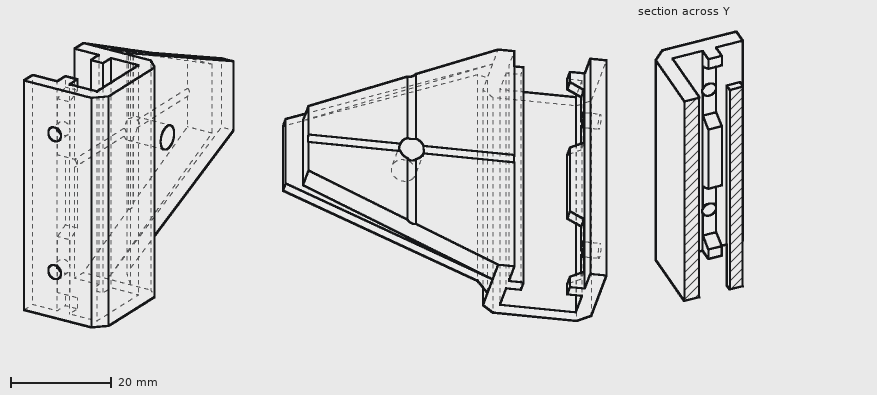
import cadquery as cq

width = 18.5
length = 64.0
height = 50.0

wall = 3.3
channel_length = 22.0
outer_chamfer = 2.5
lip_depth = 3.0
lip_start = 5.8
lip_thickness = 2.9
lip_end = lip_start + lip_thickness
arm_inner_face = channel_length - wall

plate_end_height = 15.0
gusset_leg = 2.5
pad_setback = 3.5
pad_end = length - pad_setback

center_hole_diameter = 5.0
center_y = 39.5
groove_radius = 1.0
groove_depth = 0.5

screw_diameter = 3.0
screw_spacing = 30.0
screw_x = 7.3
relief_bottom_width = 12.2
relief_top_width = 15.2
relief_floor = 0.15


def prism(points):
    """Extrude an XY outline over the full height, centred on Z = 0."""
    return cq.Workplane("XY").polyline(points).close().extrude(height / 2, both=True)


def box(x_range, y_range):
    """Full-height block between two X and two Y positions."""
    (x0, x1), (y0, y1) = x_range, y_range
    return prism([(x0, y0), (x1, y0), (x1, y1), (x0, y1)])


def channel():
    """C-shaped channel, open towards -X, with a lip inside each arm."""
    body = box((0, width), (0, channel_length)).edges("|Z and >X").chamfer(outer_chamfer)
    body = body.cut(box((0, width - wall), (wall, arm_inner_face)))
    front_lip = box((lip_start, lip_end), (wall, wall + lip_depth))
    rear_lip = box((lip_start, lip_end), (arm_inner_face - lip_depth, arm_inner_face))
    return body.union(front_lip).union(rear_lip)


def taper(end_y):
    """Trapezoid in YZ, full height at the channel and narrow at end_y, across all X."""
    outline = [
        (channel_length, -height / 2),
        (end_y, -plate_end_height / 2),
        (end_y, plate_end_height / 2),
        (channel_length, height / 2),
    ]
    return cq.Workplane("YZ").polyline(outline).close().extrude(width)


def plate():
    """Tapered plate with a triangular gusset against the channel."""
    outline = [
        (lip_start, channel_length),
        (lip_end + gusset_leg, channel_length),
        (lip_end, channel_length + gusset_leg),
        (lip_end, length),
        (lip_start, length),
    ]
    return prism(outline).intersect(taper(length))


def pad():
    """Raised tapered pad on the -X face of the plate."""
    return box((0, lip_start), (channel_length, pad_end)).intersect(taper(pad_end))


def grooves():
    """Crossing round grooves in the -X face, one along Y and one along Z."""
    axis_x = groove_depth - groove_radius
    along_y = (
        cq.Workplane("XZ", origin=(axis_x, arm_inner_face, 0))
        .circle(groove_radius)
        .extrude(arm_inner_face - pad_end)
    )
    along_z = (
        cq.Workplane("XY", origin=(axis_x, center_y, 0))
        .circle(groove_radius)
        .extrude(height / 2, both=True)
    )
    return along_y.union(along_z)


def center_hole():
    """Through hole along X at the crossing of the grooves."""
    return cq.Workplane("YZ").center(center_y, 0).circle(center_hole_diameter / 2).extrude(width)


def screw_cut(z):
    """Screw hole through the front arm and the flared relief in its lip, at height z."""
    floor_y = wall + relief_floor
    lip_top = wall + lip_depth
    hole = (
        cq.Workplane("XZ", origin=(screw_x, 0, z))
        .circle(screw_diameter / 2)
        .extrude(-lip_top)
    )
    outline = [
        (floor_y, z - relief_bottom_width / 2),
        (lip_top, z - relief_top_width / 2),
        (lip_top, z + relief_top_width / 2),
        (floor_y, z + relief_bottom_width / 2),
    ]
    relief = (
        cq.Workplane("YZ", origin=(lip_start, 0, 0))
        .polyline(outline)
        .close()
        .extrude(lip_thickness)
    )
    return hole.union(relief)


result = channel().union(plate()).union(pad())
result = result.cut(grooves()).cut(center_hole())
for screw_z in (-screw_spacing / 2, screw_spacing / 2):
    result = result.cut(screw_cut(screw_z))